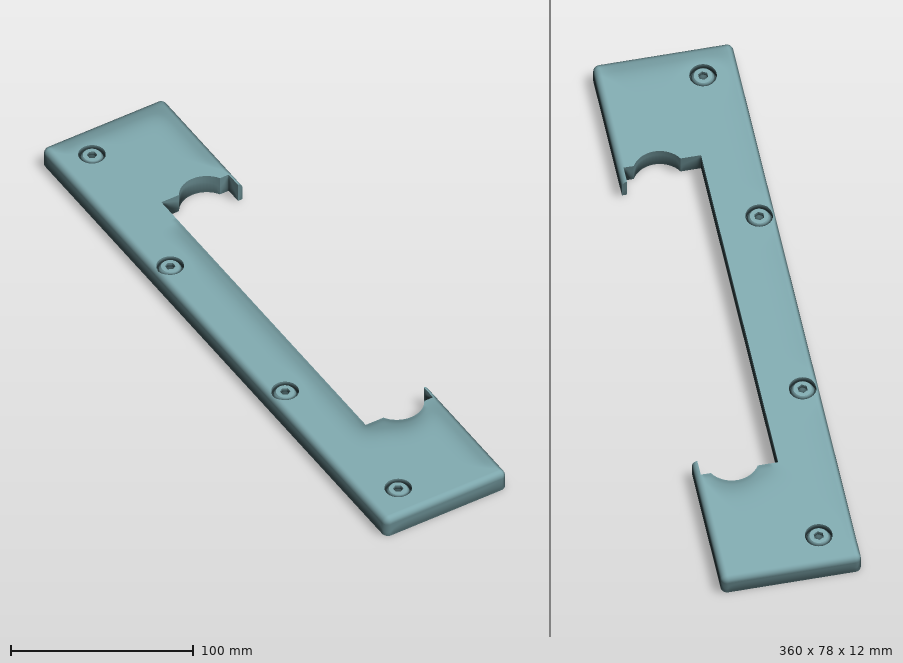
import cadquery as cq
import math

length = 360.0
width = 78.0
height = 12.0
edge_radius = 3.5

notch_half_width = 107.0
notch_front = 32.0
lip_thickness = 3.0
lip_half_gap = 97.2
notch_back = width - lip_thickness

relief_radius = 15.0
relief_depth = 7.5
relief_x = notch_half_width + relief_depth - relief_radius
relief_y = 56.5

outer_screw_x = 160.2
outer_screw_y = 20.0
inner_screw_x = 60.0
inner_screw_y = 9.0
counterbore_diameter = 15.0
counterbore_depth = 4.5
head_diameter = 14.0
head_height = 4.5
head_flat_diameter = 10.0
socket_across_flats = 5.0
socket_depth = 2.5


def make_plate():
    """Solid bar with rounded vertical corners and rounded top edges."""
    plate = cq.Workplane("XY").box(length, width, height, centered=(True, False, False))
    plate = plate.edges("|Z").fillet(edge_radius)
    return plate.faces(">Z").edges().fillet(edge_radius)


def make_notch():
    """Rectangular notch, gap between the lips and the two round reliefs."""
    notch = cq.Workplane("XY").box(
        2 * notch_half_width, notch_back - notch_front, height, centered=(True, False, False)
    ).translate((0, notch_front, 0))
    gap = cq.Workplane("XY").box(
        2 * lip_half_gap, width - notch_front, height, centered=(True, False, False)
    ).translate((0, notch_front, 0))
    reliefs = (
        cq.Workplane("XY")
        .pushPoints([(-relief_x, relief_y), (relief_x, relief_y)])
        .circle(relief_radius)
        .extrude(height)
    )
    return notch.union(gap).union(reliefs)


def make_screw_head():
    """Domed head standing on Z = 0, with a flat top and a hexagon socket."""
    base_radius = head_diameter / 2
    flat_radius = head_flat_diameter / 2
    dome_center_z = (flat_radius**2 + head_height**2 - base_radius**2) / (2 * head_height)
    dome_radius = math.hypot(base_radius, dome_center_z)
    middle_angle = (
        math.atan2(-dome_center_z, base_radius)
        + math.atan2(head_height - dome_center_z, flat_radius)
    ) / 2
    dome_middle = (
        dome_radius * math.cos(middle_angle),
        dome_center_z + dome_radius * math.sin(middle_angle),
    )
    head = (
        cq.Workplane("XZ")
        .lineTo(base_radius, 0)
        .threePointArc(dome_middle, (flat_radius, head_height))
        .lineTo(0, head_height)
        .close()
        .revolve(360, (0, 0, 0), (0, 1, 0))
    )
    socket_across_corners = socket_across_flats / math.cos(math.pi / 6)
    socket = (
        cq.Workplane("XY")
        .workplane(offset=head_height - socket_depth)
        .polygon(6, socket_across_corners)
        .extrude(socket_depth)
    )
    return head.cut(socket)


result = make_plate().cut(make_notch())

counterbore_floor = height - counterbore_depth
counterbore = (
    cq.Workplane("XY").circle(counterbore_diameter / 2).extrude(counterbore_depth)
)
screw_head = make_screw_head()
for screw_x, screw_y in ((outer_screw_x, outer_screw_y), (inner_screw_x, inner_screw_y)):
    for side in (-1, 1):
        seat = (side * screw_x, screw_y, counterbore_floor)
        result = result.cut(counterbore.translate(seat))
        result = result.union(screw_head.translate(seat))